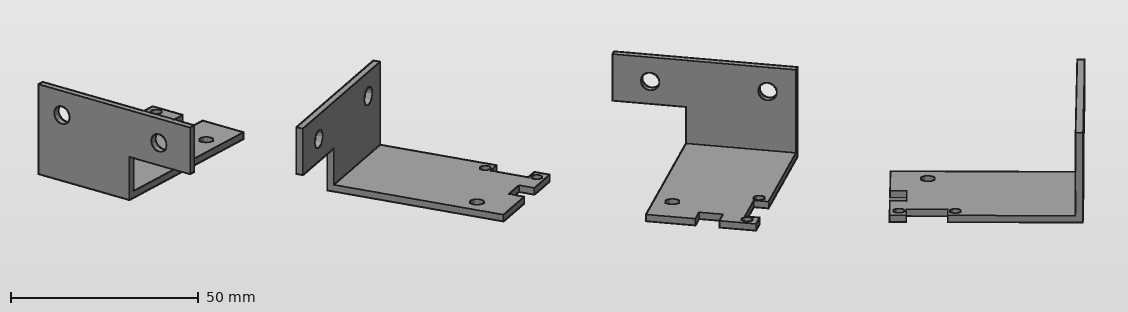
import cadquery as cq

thickness = 2.0
flange_length = 50.0
bracket_depth = 51.5
bracket_height = 26.0
base_width = 30.0

arm_bottom = 12.5
flange_hole_diameter = 5.0
flange_hole_height = 19.0
flange_hole_positions = (7.75, 39.75)

notch_depth_rear = 4.5
rear_notch_start = 10.0
rear_notch_width = 6.5
notch_depth_left = 4.0
left_notch_setback = 4.5
left_notch_length = 11.0

small_hole_diameter = 3.0
small_hole_offset = 3.0
small_hole_setbacks = (2.5, 17.5)
large_hole_diameter = 3.8
large_hole_offset = 25.0
large_hole_setback = 10.0


def make_base():
    """Flat horizontal plate with two edge notches and three through holes."""
    plate = cq.Workplane("XY").box(base_width, bracket_depth, thickness, centered=False)
    rear_notch = (
        cq.Workplane("XY")
        .box(rear_notch_width, notch_depth_rear, thickness, centered=False)
        .translate((rear_notch_start, bracket_depth - notch_depth_rear, 0))
    )
    left_notch = (
        cq.Workplane("XY")
        .box(notch_depth_left, left_notch_length, thickness, centered=False)
        .translate((0, bracket_depth - left_notch_setback - left_notch_length, 0))
    )
    small_holes = (
        cq.Workplane("XY")
        .pushPoints([(small_hole_offset, bracket_depth - setback) for setback in small_hole_setbacks])
        .circle(small_hole_diameter / 2)
        .extrude(thickness)
    )
    large_hole = (
        cq.Workplane("XY")
        .center(large_hole_offset, bracket_depth - large_hole_setback)
        .circle(large_hole_diameter / 2)
        .extrude(thickness)
    )
    return plate.cut(rear_notch).cut(left_notch).cut(small_holes).cut(large_hole)


def make_flange():
    """Upright L-shaped plate along the front edge with two mounting holes."""
    plate = (
        cq.Workplane("XZ")
        .polyline([
            (0, 0),
            (base_width, 0),
            (base_width, arm_bottom),
            (flange_length, arm_bottom),
            (flange_length, bracket_height),
            (0, bracket_height),
        ])
        .close()
        .extrude(-thickness)
    )
    holes = (
        cq.Workplane("XZ")
        .pushPoints([(x, flange_hole_height) for x in flange_hole_positions])
        .circle(flange_hole_diameter / 2)
        .extrude(-thickness)
    )
    return plate.cut(holes)


result = make_base().union(make_flange())